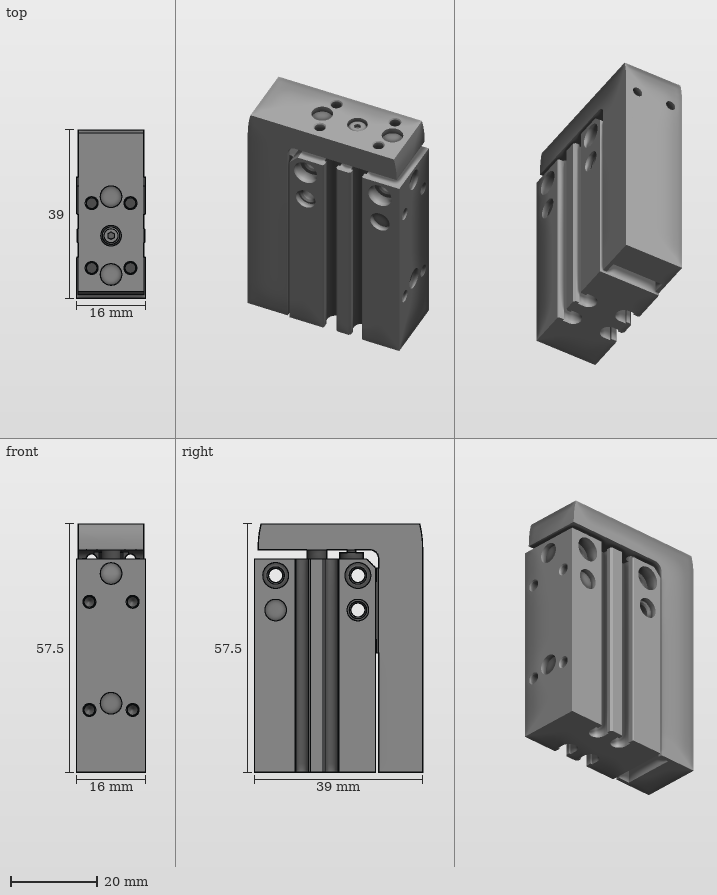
import cadquery as cq
import math


housing_width = 16.0
housing_depth = 28.05
housing_height = 49.4
housing_chamfer = 2.05

rod_y = 14.5

table_width = 15.2
table_height = 57.5
table_back = 39.0
plate_front = 28.75
arm_front = 0.85
arm_underside = 51.45
corner_fillet = 2.0
taper_start = 51.85
taper_inset = 0.7

thread_bore = 2.5
thread_mouth = 3.0
thread_chamfer = (thread_mouth - thread_bore) / 2
locating_bore = 5.0
locating_depth = 1.5
drill_tip_angle = 118.0

side_hole_rows = (4.95, 24.0)
mount_z = 45.55
port_z = 37.55
side_bore = 3.2
side_bore_mouth = 4.0
side_bore_chamfer = (side_bore_mouth - side_bore) / 2
mount_counterbore = 6.0
mount_counterbore_depth = 3.3
port_depth = 1.5

front_locating_z = (16.0, 46.0)
front_thread_x = 5.0
front_thread_z = (14.45, 39.45)
front_thread_depth = 5.0

slot_pitch = 6.8
slot_centers = (rod_y - slot_pitch / 2, rod_y + slot_pitch / 2)
slot_mouth = 3.0
slot_bevel = 0.25
slot_bore = 4.0
slot_lip = 1.55
slot_center_depth = 3.2
rib_inset = 0.2
rib_chamfer = 0.45

guide_width = 11.5
guide_bottom = 27.6
guide_top = 47.3
guide_cap_height = 3.15
guide_cap_step = 0.25
guide_seat_width = 13.2
guide_seat_depth = 3.0
guide_seat_floor = plate_front + guide_seat_depth

rod_diameter = 4.6
bumper_y = 22.5
bumper_diameter = 5.5
bumper_top = 50.85
bumper_stud = 2.0

arm_thread_x = 4.5
arm_thread_y = (7.0, 22.0)
arm_locating_y = (5.5, 23.5)
plate_hole_z = 49.3

screw_pocket_diameter = 4.8
screw_pocket_depth = 1.5
screw_head_diameter = 4.0
screw_head_crown = 3.2
screw_head_height = 1.0
screw_crown_height = 0.25
screw_socket_flats = 1.5
screw_socket_depth = 0.85

rail_seat_width = 8.0
rail_seat_top = 50.95


def block(x_size, y_range, z_range):
    """Box centred on x = 0 that spans the given y and z ranges."""
    return (
        cq.Workplane("XY")
        .box(x_size, y_range[1] - y_range[0], z_range[1] - z_range[0], centered=(True, False, False))
        .translate((0, y_range[0], z_range[0]))
    )


def cylinder(start, direction, diameter, length):
    """Plain cylinder from a start point along a direction."""
    origin = cq.Vector(*start)
    axis = cq.Vector(*direction)
    return cq.Workplane(cq.Solid.makeCylinder(diameter / 2, length, origin, axis))


def cone(start, direction, start_diameter, end_diameter, length):
    """Cone frustum from a start point along a direction."""
    origin = cq.Vector(*start)
    axis = cq.Vector(*direction)
    return cq.Workplane(cq.Solid.makeCone(start_diameter / 2, end_diameter / 2, length, origin, axis))


def housing_blank():
    """Plain housing with its upper rear edge chamfered."""
    body = block(housing_width, (0, housing_depth), (0, housing_height))
    return body.faces(">Y").edges(">Z").chamfer(housing_chamfer)


def sensor_slot(side, center_y):
    """Undercut slot with a bevelled mouth and a round floor, open to one side face over the full height."""
    face_x = side * housing_width / 2
    lip_x = face_x - side * slot_lip
    floor_x = face_x - side * slot_center_depth
    end_x = floor_x - side * slot_bore / 2
    bevel_x = face_x - side * slot_bevel
    mouth = slot_mouth / 2
    bore = slot_bore / 2
    return (
        cq.Workplane("XY")
        .moveTo(face_x, center_y - mouth - slot_bevel)
        .lineTo(bevel_x, center_y - mouth)
        .lineTo(lip_x, center_y - mouth)
        .lineTo(lip_x, center_y - bore)
        .lineTo(floor_x, center_y - bore)
        .threePointArc((end_x, center_y), (floor_x, center_y + bore))
        .lineTo(lip_x, center_y + bore)
        .lineTo(lip_x, center_y + mouth)
        .lineTo(bevel_x, center_y + mouth)
        .lineTo(face_x, center_y + mouth + slot_bevel)
        .close()
        .extrude(housing_height)
    )


def rib_relief(side):
    """Material taken off the outer face of the rib between two slots, with both rib corners bevelled."""
    face_x = side * housing_width / 2
    rib_x = face_x - side * rib_inset
    bevel_x = rib_x - side * rib_chamfer
    front = slot_centers[0] + slot_mouth / 2
    back = slot_centers[1] - slot_mouth / 2
    return (
        cq.Workplane("XY")
        .polyline([
            (face_x, front),
            (bevel_x, front),
            (rib_x, front + rib_chamfer),
            (rib_x, back - rib_chamfer),
            (bevel_x, back),
            (face_x, back),
        ])
        .close()
        .extrude(housing_height)
    )


def side_recess(side, y, z, diameter, depth):
    """Round flat-bottomed recess sunk into one side face."""
    return cylinder((side * housing_width / 2, y, z), (-side, 0, 0), diameter, depth)


def side_through_hole(y, z, recess_diameter, recess_depth):
    """Cross hole with a recess at both ends and a chamfer at each recess floor."""
    tool = cylinder((-housing_width / 2, y, z), (1, 0, 0), side_bore, housing_width)
    for side in (-1, 1):
        floor = (side * (housing_width / 2 - recess_depth), y, z)
        tool = tool.union(side_recess(side, y, z, recess_diameter, recess_depth))
        tool = tool.union(cone(floor, (-side, 0, 0), side_bore_mouth, side_bore, side_bore_chamfer))
    return tool


def front_thread_hole(x, z):
    """Blind hole from the front with a chamfered mouth and a drill-point bottom."""
    tip_length = thread_bore / 2 / math.tan(math.radians(drill_tip_angle / 2))
    inward = (0, 1, 0)
    tool = cylinder((x, 0, z), inward, thread_bore, front_thread_depth)
    tool = tool.union(cone((x, 0, z), inward, thread_mouth, thread_bore, thread_chamfer))
    return tool.union(cone((x, front_thread_depth, z), inward, thread_bore, 0, tip_length))


def guide_block():
    """Guide that reaches the seat floor in the table, with a slightly wider foot under both end caps."""
    guide = block(guide_width, (housing_depth, guide_seat_floor), (guide_bottom, guide_top))
    foot_width = guide_width + 2 * guide_cap_step
    for cap_bottom in (guide_bottom, guide_top - guide_cap_height):
        foot = block(
            foot_width,
            (housing_depth, housing_depth + guide_cap_step),
            (cap_bottom, cap_bottom + guide_cap_height),
        )
        guide = guide.union(foot)
    return guide


def make_housing():
    """Cylinder housing with its holes, slots and guide block, as one solid."""
    body = housing_blank()
    front_row, back_row = side_hole_rows
    for side in (-1, 1):
        for center_y in slot_centers:
            body = body.cut(sensor_slot(side, center_y))
        body = body.cut(rib_relief(side))
        body = body.cut(side_recess(side, front_row, port_z, locating_bore, port_depth))
    for y in side_hole_rows:
        body = body.cut(side_through_hole(y, mount_z, mount_counterbore, mount_counterbore_depth))
    body = body.cut(side_through_hole(back_row, port_z, locating_bore, port_depth))
    for z in front_locating_z:
        body = body.cut(cylinder((0, 0, z), (0, 1, 0), locating_bore, locating_depth))
    for x in (-front_thread_x, front_thread_x):
        for z in front_thread_z:
            body = body.cut(front_thread_hole(x, z))
    return body.union(guide_block())


def table_blank():
    """L-shaped table whose two upper ends curve slightly inward."""
    rise = table_height - taper_start
    radius = (rise**2 + taper_inset**2) / (2 * taper_inset)
    half_angle = math.asin(rise / radius) / 2
    mid_inset = radius * (1 - math.cos(half_angle))
    mid_z = taper_start + radius * math.sin(half_angle)
    return (
        cq.Workplane("YZ")
        .moveTo(plate_front, 0)
        .lineTo(table_back, 0)
        .lineTo(table_back, taper_start)
        .threePointArc((table_back - mid_inset, mid_z), (table_back - taper_inset, table_height))
        .lineTo(arm_front + taper_inset, table_height)
        .threePointArc((arm_front + mid_inset, mid_z), (arm_front, taper_start))
        .lineTo(arm_front, arm_underside)
        .lineTo(plate_front - corner_fillet, arm_underside)
        .radiusArc((plate_front, arm_underside - corner_fillet), corner_fillet)
        .close()
        .extrude(table_width / 2, both=True)
    )


def arm_thread_hole(x, y):
    """Threaded hole through the arm with a chamfered mouth."""
    tool = cylinder((x, y, table_height), (0, 0, -1), thread_bore, table_height - arm_underside)
    return tool.union(cone((x, y, table_height), (0, 0, -1), thread_mouth, thread_bore, thread_chamfer))


def rod_screw():
    """Round screw head with a bevelled crown and a hexagon socket."""
    floor_z = table_height - screw_pocket_depth
    side_height = screw_head_height - screw_crown_height
    up = (0, 0, 1)
    head = cylinder((0, rod_y, floor_z), up, screw_head_diameter, side_height)
    crown_base = (0, rod_y, floor_z + side_height)
    head = head.union(cone(crown_base, up, screw_head_diameter, screw_head_crown, screw_crown_height))
    socket = (
        cq.Workplane("XY", origin=(0, rod_y, floor_z + screw_head_height))
        .polygon(6, screw_socket_flats, circumscribed=True)
        .extrude(-screw_socket_depth)
    )
    return head.cut(socket)


def guide_seat():
    """Channel for the guide block, with a narrower rail seat running up into the corner fillet."""
    y_range = (plate_front - corner_fillet, guide_seat_floor)
    channel = block(guide_seat_width, y_range, (0, arm_underside - corner_fillet))
    return channel.union(block(rail_seat_width, y_range, (0, rail_seat_top)))


def make_table():
    """Slide table with its holes, rod, rod screw and bumper, as one solid."""
    body = table_blank()
    down = (0, 0, -1)
    for x in (-arm_thread_x, arm_thread_x):
        for y in arm_thread_y:
            body = body.cut(arm_thread_hole(x, y))
        plate_hole_start = (x, plate_front - corner_fillet, plate_hole_z)
        body = body.cut(cylinder(plate_hole_start, (0, 1, 0), thread_bore, table_back))
    for y in arm_locating_y:
        body = body.cut(cylinder((0, y, table_height), down, locating_bore, locating_depth))
    body = body.cut(guide_seat())
    body = body.cut(cylinder((0, rod_y, table_height), down, screw_pocket_diameter, screw_pocket_depth))
    body = body.union(rod_screw())
    gap = arm_underside - housing_height
    body = body.union(cylinder((0, rod_y, arm_underside), down, rod_diameter, gap))
    body = body.union(cylinder((0, bumper_y, arm_underside), down, bumper_stud, gap))
    return body.union(cylinder((0, bumper_y, bumper_top), down, bumper_diameter, bumper_top - housing_height))


housing = make_housing()
table = make_table()

result = cq.Compound.makeCompound([housing.solids().val(), table.solids().val()])